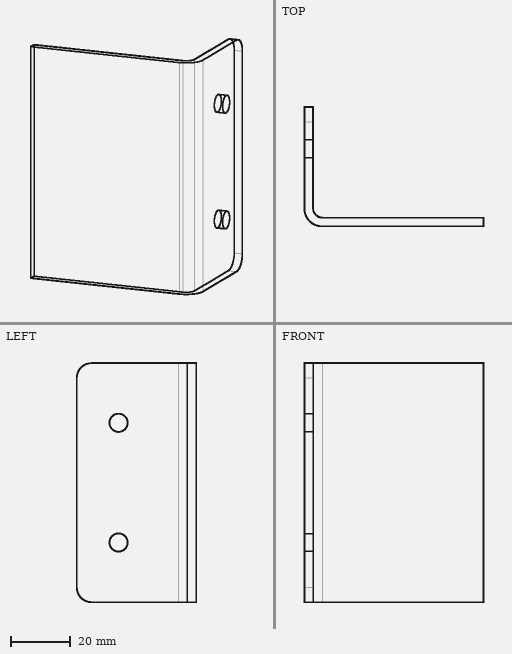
import cadquery as cq

LENGTH_X = 60.0
LENGTH_Y = 40.0
HEIGHT = 80.0

THICKNESS = 3.0
INNER_BEND_RADIUS = 3.0
OUTER_BEND_RADIUS = INNER_BEND_RADIUS + THICKNESS

CORNER_RADIUS = 5.0

HOLE_DIAMETER = 6.0
HOLE_EDGE_DISTANCE = 14.0
HOLE_SPACING = HEIGHT / 2


def bent_sheet():
    """L-shaped sheet: long flange along X, short flange along Y, bend at the origin corner."""
    return (
        cq.Workplane("XY")
        .moveTo(OUTER_BEND_RADIUS, 0)
        .lineTo(LENGTH_X, 0)
        .lineTo(LENGTH_X, THICKNESS)
        .lineTo(OUTER_BEND_RADIUS, THICKNESS)
        .radiusArc((THICKNESS, OUTER_BEND_RADIUS), INNER_BEND_RADIUS)
        .lineTo(THICKNESS, LENGTH_Y)
        .lineTo(0, LENGTH_Y)
        .lineTo(0, OUTER_BEND_RADIUS)
        .radiusArc((OUTER_BEND_RADIUS, 0), -OUTER_BEND_RADIUS)
        .close()
        .extrude(HEIGHT)
    )


def round_short_flange(body):
    """Round the top and bottom corners at the free edge of the short flange."""
    return body.faces(">Y").edges("|X").fillet(CORNER_RADIUS)


def mounting_holes():
    """Cylinders along X, spaced evenly about mid-height of the short flange."""
    hole_y = LENGTH_Y - HOLE_EDGE_DISTANCE
    hole_heights = [HEIGHT / 2 + side * HOLE_SPACING / 2 for side in (-1, 1)]
    return (
        cq.Workplane("YZ")
        .pushPoints([(hole_y, hole_z) for hole_z in hole_heights])
        .circle(HOLE_DIAMETER / 2)
        .extrude(THICKNESS)
    )


result = round_short_flange(bent_sheet()).cut(mounting_holes())